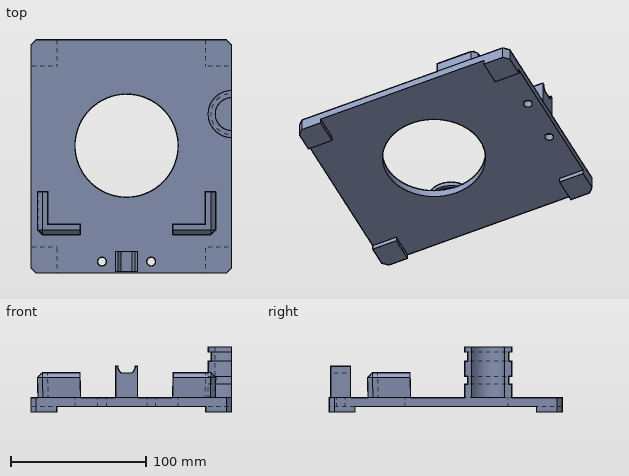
import cadquery as cq
import math

plate_length_x = 148.72
plate_length_y = 172.8
plate_left = -70.9
plate_front = -94.4
plate_right = plate_left + plate_length_x
corner_chamfer = 4.0
foot_height = 4.0
plate_thickness = 6.7
foot_size = 19.4
opening_diameter = 76.2
plate_top = foot_height + plate_thickness

total_height = 48.26
post_y = plate_front + 117.8
post_radius = 17.46
post_groove_radius = 15.3
post_bore_radius = 12.2
lower_groove_bottom = plate_top + 10.0
lower_groove_width = 5.8
upper_groove_bottom = plate_top + 27.0
upper_groove_width = 6.6

bracket_left = plate_left + 5.25
bracket_front = plate_front + 28.8
bracket_leg_length = 31.7
bracket_leg_width = 7.62
bracket_height = 18.5
bracket_chamfer = 3.75
bracket_lean = 0.5

cradle_width = 16.2
cradle_depth = 14.8
cradle_height = 23.3
cradle_front = plate_front + 1.2
cradle_groove_radius = 6.35
cradle_groove_depth = 4.9
pin_hole_diameter = 6.35
pin_hole_spacing = 36.4
pin_hole_y = cradle_front + cradle_depth / 2


def corner_box(x, y, z, size_x, size_y, size_z):
    """Box placed by its lowest corner."""
    return cq.Workplane("XY").box(size_x, size_y, size_z, centered=False).translate((x, y, z))


def cylinder(x, y, z, radius, height):
    """Vertical cylinder placed by the centre of its bottom face."""
    return cq.Workplane("XY").circle(radius).extrude(height).translate((x, y, z))


def make_plate():
    """Plate with cut corners, a square foot at each corner and all through holes."""
    plate = corner_box(plate_left, plate_front, 0, plate_length_x, plate_length_y, plate_top)
    plate = plate.edges("|Z").chamfer(corner_chamfer)

    channel_along_y = corner_box(
        plate_left + foot_size, plate_front, 0,
        plate_length_x - 2 * foot_size, plate_length_y, foot_height,
    )
    channel_along_x = corner_box(
        plate_left, plate_front + foot_size, 0,
        plate_length_x, plate_length_y - 2 * foot_size, foot_height,
    )
    plate = plate.cut(channel_along_y).cut(channel_along_x)

    plate = plate.cut(cylinder(0, 0, 0, opening_diameter / 2, plate_top))
    for side in (-1, 1):
        hole_x = side * pin_hole_spacing / 2
        plate = plate.cut(cylinder(hole_x, pin_hole_y, 0, pin_hole_diameter / 2, plate_top))
    return plate


def make_post():
    """Hollow half cylinder with two outer grooves, open towards +X."""
    post_height = total_height - plate_top
    post = cylinder(plate_right, post_y, plate_top, post_radius, post_height)
    grooves = (
        (lower_groove_bottom, lower_groove_width),
        (upper_groove_bottom, upper_groove_width),
    )
    for bottom, width in grooves:
        outer = cylinder(plate_right, post_y, bottom, post_radius, width)
        core = cylinder(plate_right, post_y, bottom, post_groove_radius, width)
        post = post.cut(outer.cut(core))
    post = post.cut(cylinder(plate_right, post_y, plate_top, post_bore_radius, post_height))
    outer_half = corner_box(
        plate_right, post_y - post_radius, plate_top,
        post_radius, 2 * post_radius, post_height,
    )
    return post.cut(outer_half)


def make_left_bracket():
    """Leaning L-shaped wall, bevelled along its outer top edges and across its outer corner."""
    block = corner_box(0, 0, 0, bracket_leg_length, bracket_leg_length, bracket_height)
    sloped_top = block.faces(">Z").edges("<X or <Y").chamfer(bracket_chamfer)
    cut_corner = block.edges("|Z and <X and <Y").chamfer(bracket_chamfer)
    bracket = sloped_top.intersect(cut_corner)

    bevel_bottom = bracket_height - bracket_chamfer
    facet_points = [
        (bracket_chamfer, 0, bevel_bottom),
        (0, bracket_chamfer, bevel_bottom),
        (bracket_chamfer, bracket_chamfer, bracket_height),
    ]
    facet_outline = cq.Wire.makePolygon([cq.Vector(*point) for point in facet_points], close=True)
    facet_waste = cq.Solid.extrudeLinear(facet_outline, [], cq.Vector(0, 0, bracket_chamfer))
    bracket = bracket.cut(cq.Workplane(obj=facet_waste))

    inner_length = bracket_leg_length - bracket_leg_width
    bracket = bracket.cut(
        corner_box(bracket_leg_width, bracket_leg_width, 0, inner_length, inner_length, bracket_height)
    )

    slope = bracket_lean / bracket_height
    shear = cq.Matrix([[1, 0, -slope, 0], [0, 1, -slope, 0], [0, 0, 1, 0]])
    leaning = cq.Workplane(obj=bracket.val().transformGeometry(shear))
    return leaning.translate((bracket_left, bracket_front, plate_top))


def make_cradle():
    """Block whose top carries a round groove along Y, flattened at the bottom."""
    cradle_top = plate_top + cradle_height
    floor_z = cradle_top - cradle_groove_depth
    floor_half_width = math.sqrt(cradle_groove_radius**2 - cradle_groove_depth**2)
    half_angle = math.atan2(cradle_groove_depth, floor_half_width) / 2
    arc_mid_x = cradle_groove_radius * math.cos(half_angle)
    arc_mid_z = cradle_top - cradle_groove_radius * math.sin(half_angle)
    half_width = cradle_width / 2
    profile = (
        cq.Workplane("XZ", origin=(0, cradle_front, 0))
        .moveTo(-half_width, plate_top)
        .lineTo(half_width, plate_top)
        .lineTo(half_width, cradle_top)
        .lineTo(cradle_groove_radius, cradle_top)
        .threePointArc((arc_mid_x, arc_mid_z), (floor_half_width, floor_z))
        .lineTo(-floor_half_width, floor_z)
        .threePointArc((-arc_mid_x, arc_mid_z), (-cradle_groove_radius, cradle_top))
        .lineTo(-half_width, cradle_top)
        .close()
    )
    return profile.extrude(-cradle_depth)


left_bracket = make_left_bracket()
right_bracket = left_bracket.mirror("YZ")
result = (
    make_plate()
    .union(make_post())
    .union(left_bracket)
    .union(right_bracket)
    .union(make_cradle())
)